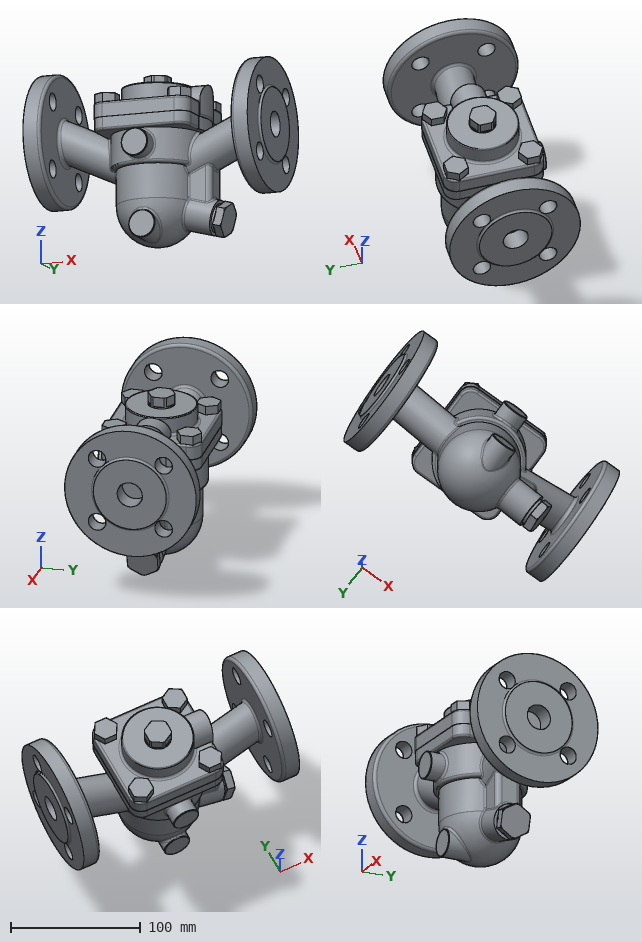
import cadquery as cq
import math

overall_length = 191.0
flange_diameter = 105.0
flange_thickness = 14.3
raised_face_height = 2.0
raised_face_diameter = 58.3
raised_face_root_fillet = 1.7
flange_edge_fillet = 2.5
bolt_hole_diameter = 14.0
bolt_circle_diameter = 75.0
bore_diameter = 20.0
bore_depth = raised_face_height + flange_thickness

pipe_diameter = 31.7
pipe_slope = 24.5
pipe_length = 68.8
pipe_root_fillet = 2.5
pipe_body_fillet = 2.0

body_x = -2.5
overall_height = 141.5
pot_radius = 32.0
lowest_z = flange_diameter / 2 - overall_height
pot_centre_z = lowest_z + pot_radius
neck_radius = 36.3
neck_bottom_z = -29.5
neck_edge_fillet = 2.3

cover_side = 80.2
body_flange_side = 79.6
cover_corner_radius = 10.1
body_flange_bottom_z = -2.0
cover_bottom_z = 8.4
cover_top_z = 20.6
cover_edge_fillet = 1.7
cap_diameter = 56.0
cap_top_z = 35.5
cap_edge_fillet = 0.8
cap_root_fillet = 2.1

lug_diameter = 28.0
lug_centre_z = 21.0
lug_reach_radius = 43.2
lower_lug_reach_radius = 42.5
lug_edge_fillet = 1.7

bolt_offset = 30.0
bolt_across_flats = 17.0
bolt_head_top_z = 27.7
plug_across_flats = 19.1
plug_diameter = 21.0
plug_collar_height = 1.1
plug_top_z = 44.5

boss_diameter = 22.0
boss_edge_chamfer = 0.5
boss_root_fillet = 2.0
upper_boss_z = -15.3
upper_boss_reach = 48.3
lower_boss_z = -76.8
lower_boss_reach = 33.0

port_diameter = 28.0
port_slope = 15.0
port_length = 51.8
gasket_diameter = 23.0
gasket_thickness = 2.5
port_plug_corners = 28.0
port_plug_height = 7.0
port_plug_chamfer = 1.0
port_root_fillet = 2.0

web_width = 21.8
web_outer_x = 46.2
web_top_z = -23.0
web_corner_radius = 4.4
web_root_fillet = 2.0

seam_tolerance = 0.002


def cylinder(start, direction, diameter, length):
    return cq.Workplane(cq.Solid.makeCylinder(diameter / 2, length, cq.Vector(*start), cq.Vector(*direction)))


def hexagon(across_flats, z_bottom, z_top, turn):
    corners = across_flats / math.cos(math.radians(30))
    return (
        cq.Workplane("XY")
        .workplane(offset=z_bottom)
        .polygon(6, corners)
        .extrude(z_top - z_bottom)
        .rotate((0, 0, 0), (0, 0, 1), turn)
    )


def body_plane(z):
    return cq.Workplane("XY", origin=(body_x, 0, z))


def join(first, second, root_fillet):
    """Union of two solids with the seam between them rounded."""
    joined = first.union(second)
    skins = [cq.Compound.makeCompound(solid.faces().vals()) for solid in (first, second)]
    seam = [
        edge
        for edge in joined.edges().vals()
        if all(skin.distance(cq.Vertex.makeVertex(*edge.positionAt(0.4).toTuple())) < seam_tolerance for skin in skins)
    ]
    return joined.newObject(seam).fillet(root_fillet)


def make_body():
    pot = body_plane(pot_centre_z).circle(pot_radius).extrude(-pot_centre_z)
    pot = pot.union(body_plane(pot_centre_z).sphere(pot_radius))
    neck = body_plane(neck_bottom_z).circle(neck_radius).extrude(cover_bottom_z - neck_bottom_z)
    neck = neck.faces("<Z").edges().fillet(neck_edge_fillet)
    return pot.union(neck)


def square_plate(side, bottom_z, top_z):
    plate = body_plane(bottom_z).rect(side, side).extrude(top_z - bottom_z)
    return plate.edges("|Z").fillet(cover_corner_radius)


def make_body_flange():
    plate = square_plate(body_flange_side, body_flange_bottom_z, cover_bottom_z)
    plate = plate.faces("<Z").edges().fillet(cover_edge_fillet)
    return plate.union(make_lug(lower_lug_reach_radius, body_flange_bottom_z, cover_bottom_z))


def make_cover():
    plate = square_plate(cover_side, cover_bottom_z, cover_top_z)
    plate = plate.faces(">Z").edges().fillet(cover_edge_fillet)
    cap = body_plane(cover_top_z).circle(cap_diameter / 2).extrude(cap_top_z - cover_top_z)
    cap = cap.faces(">Z").edges().fillet(cap_edge_fillet)
    cover = join(plate, cap, cap_root_fillet)
    lug = make_lug(lug_reach_radius, cover_bottom_z, lug_centre_z + lug_diameter / 2)
    lug = lug.edges(">X").fillet(lug_edge_fillet)
    return cover.union(lug)


def make_lug(reach_radius, bottom_z, top_z):
    """Round-topped bar along +X, its outer end curved about the body axis."""
    half = lug_diameter / 2
    bar = (
        cq.Workplane("YZ", origin=(body_x, 0, 0))
        .moveTo(-half, bottom_z)
        .lineTo(half, bottom_z)
        .lineTo(half, lug_centre_z)
        .threePointArc((0, lug_centre_z + half), (-half, lug_centre_z))
        .close()
        .extrude(2 * reach_radius)
    )
    return bar.intersect(body_plane(bottom_z).circle(reach_radius).extrude(top_z - bottom_z))


def add_fasteners(part):
    for side_x in (-1, 1):
        for side_y in (-1, 1):
            turn = 30 if side_x == side_y else 0
            head = hexagon(bolt_across_flats, cover_top_z - cover_edge_fillet, bolt_head_top_z, turn)
            part = part.union(head.translate((body_x + side_x * bolt_offset, side_y * bolt_offset, 0)))
    collar = body_plane(cap_top_z).circle(plug_diameter / 2).extrude(plug_top_z - cap_top_z)
    head = hexagon(plug_across_flats, cap_top_z + plug_collar_height, plug_top_z, 30).translate((body_x, 0, 0))
    part = part.union(collar.intersect(head))
    return part.union(body_plane(cap_top_z).circle(plug_diameter / 2).extrude(plug_collar_height))


def make_boss(z, reach):
    boss = cylinder((body_x, -reach, z), (0, 1, 0), boss_diameter, reach)
    return boss.faces("<Y").chamfer(boss_edge_chamfer)


def make_end(side):
    """Flange with its raised face and the pipe that slopes down to the body."""
    tip = overall_length / 2
    face = tip - raised_face_height
    back = face - flange_thickness
    disc = cylinder((back, 0, 0), (1, 0, 0), flange_diameter, flange_thickness)
    disc = disc.faces("<X").edges().fillet(flange_edge_fillet)
    raised = cylinder((face, 0, 0), (1, 0, 0), raised_face_diameter, raised_face_height)
    disc = join(disc, raised, raised_face_root_fillet)
    angle = math.radians(pipe_slope)
    along = (-math.cos(angle), 0, -math.sin(angle))
    overlap = flange_thickness * 0.55
    start = tuple(-overlap * step for step in along)
    pipe = cylinder((back + start[0], 0, start[2]), along, pipe_diameter, pipe_length + overlap)
    end = join(disc, pipe, pipe_root_fillet)
    return end if side > 0 else end.mirror("YZ")


def cut_flange_holes(part):
    for side in (-1, 1):
        tip = side * overall_length / 2
        inward = (-side, 0, 0)
        part = part.cut(cylinder((tip, 0, 0), inward, bore_diameter, bore_depth))
        for quarter in range(4):
            angle = math.radians(45 + 90 * quarter)
            y = bolt_circle_diameter / 2 * math.cos(angle)
            z = bolt_circle_diameter / 2 * math.sin(angle)
            part = part.cut(cylinder((tip, y, z), inward, bolt_hole_diameter, bore_depth))
    return part


def make_port():
    """Port, gasket and hexagon plug, modelled along +X from the pot centre and then tilted down."""
    gasket_end = port_length + gasket_thickness
    port = cylinder((0, 0, 0), (1, 0, 0), port_diameter, port_length)
    gasket = cylinder((0, 0, 0), (1, 0, 0), gasket_diameter, gasket_end)
    plug = (
        cq.Workplane("YZ", origin=(gasket_end, 0, 0))
        .polygon(6, port_plug_corners)
        .extrude(port_plug_height)
        .rotate((0, 0, 0), (1, 0, 0), 90)
    )
    round_blank = cylinder((gasket_end, 0, 0), (1, 0, 0), port_plug_corners, port_plug_height)
    plug = plug.intersect(round_blank.faces(">X").chamfer(port_plug_chamfer))
    port = port.union(gasket).union(plug)
    port = port.rotate((0, 0, 0), (0, 1, 0), port_slope)
    return port.translate((body_x, 0, pot_centre_z))


def make_web():
    """Upright block joining the port to the underside of the pipe."""
    depth = (web_outer_x - body_x) * math.tan(math.radians(port_slope))
    web = (
        cq.Workplane("XZ", origin=(0, web_width / 2, 0))
        .moveTo(body_x, web_top_z)
        .lineTo(web_outer_x, web_top_z)
        .lineTo(web_outer_x, pot_centre_z - depth)
        .lineTo(body_x, pot_centre_z)
        .close()
        .extrude(web_width)
    )
    return web.edges("|Z and >X").fillet(web_corner_radius)


result = make_body()
result = join(result, make_port(), port_root_fillet)
for side in (-1, 1):
    result = join(result, make_end(side), pipe_body_fillet)
result = join(result, make_web(), web_root_fillet)
result = join(result, make_boss(upper_boss_z, upper_boss_reach), boss_root_fillet)
result = join(result, make_boss(lower_boss_z, lower_boss_reach), boss_root_fillet)
result = result.union(make_body_flange()).union(make_cover())
result = add_fasteners(result)
result = cut_flange_holes(result)